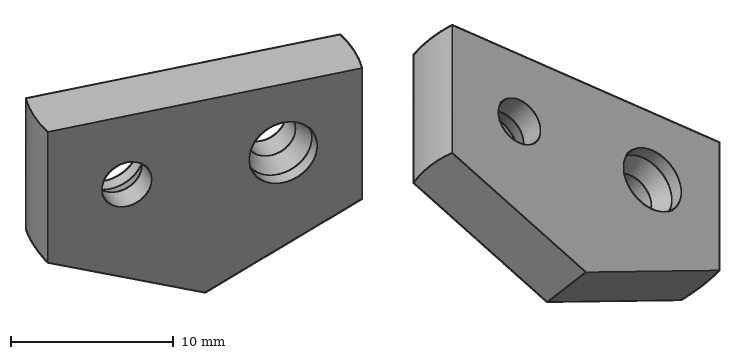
import cadquery as cq
import math

thickness = 3.96
cutting_diameter = 20.95
height = 14.27
point_angle = 132.0

hole_diameter = 3.25
hole_spacing = 10.23
hole_depth_below_top = 5.07
seat_diameter = 4.45
seat_depth = 0.96
narrow_length = 1.72

cutting_radius = cutting_diameter / 2
point_height = cutting_radius / math.tan(math.radians(point_angle / 2))
hole_z = height - hole_depth_below_top


def make_blade():
    """Pentagonal plate with its tip at the origin, trimmed to the cutting cylinder."""
    plate = (
        cq.Workplane("YZ")
        .moveTo(0, 0)
        .lineTo(cutting_radius, point_height)
        .lineTo(cutting_radius, height)
        .lineTo(-cutting_radius, height)
        .lineTo(-cutting_radius, point_height)
        .close()
        .extrude(thickness / 2, both=True)
    )
    envelope = cq.Workplane("XY").circle(cutting_radius).extrude(height)
    return plate.intersect(envelope)


def stepped_hole(y, entry_side):
    """Solid of one screw hole, wide at the entry face (-1 for -X, +1 for +X) and narrow at the other."""
    wide_radius = seat_diameter / 2
    narrow_radius = hole_diameter / 2
    seat_end = thickness - narrow_length
    profile = (
        cq.Workplane("XY")
        .moveTo(0, 0)
        .lineTo(wide_radius, 0)
        .lineTo(wide_radius, seat_depth)
        .lineTo(narrow_radius, seat_end)
        .lineTo(narrow_radius, thickness)
        .lineTo(0, thickness)
        .close()
    )
    tool = profile.revolve(360, (0, 0, 0), (0, 1, 0))
    tool = tool.rotate((0, 0, 0), (0, 0, 1), 90 * entry_side)
    return tool.translate((entry_side * thickness / 2, y, hole_z))


result = make_blade()
for side in (-1, 1):
    result = result.cut(stepped_hole(side * hole_spacing / 2, side))